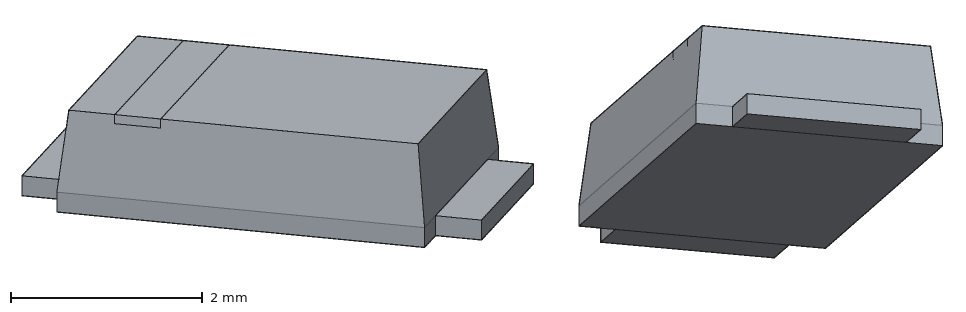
import cadquery as cq

overall_length = 5.0
housing_width = 2.7
overall_height = 1.1

lead_reach = 0.5
lead_width = 1.9
lead_thickness = 0.22

housing_length = overall_length - 2 * lead_reach
base_height = lead_thickness
taper_inset = 0.1
top_length = housing_length - 2 * taper_inset
top_width = housing_width - 2 * taper_inset

band_length = 0.5
band_depth = 0.1
band_edge_gap = 0.5
band_center_x = -top_length / 2 + band_edge_gap + band_length / 2


def make_band():
    """Straight-sided bar across the full width of the top face."""
    return (
        cq.Workplane("XY")
        .workplane(offset=overall_height - band_depth)
        .center(band_center_x, 0)
        .rect(band_length, top_width)
        .extrude(band_depth)
    )


def make_housing(band):
    """Molded housing with a recess that fits the band."""
    base = cq.Workplane("XY").rect(housing_length, housing_width).extrude(base_height)
    tapered_top = (
        cq.Workplane("XY")
        .workplane(offset=base_height)
        .rect(housing_length, housing_width)
        .workplane(offset=overall_height - base_height)
        .rect(top_length, top_width)
        .loft(ruled=True)
    )
    return base.union(tapered_top).cut(band)


def make_lead(side):
    """Flat lead on the -X side (side = -1) or the +X side (side = 1)."""
    lead_center_x = side * (housing_length + lead_reach) / 2
    return (
        cq.Workplane("XY")
        .center(lead_center_x, 0)
        .rect(lead_reach, lead_width)
        .extrude(lead_thickness)
    )


band = make_band()
housing = make_housing(band)
leads = [make_lead(side) for side in (-1, 1)]

result = cq.Compound.makeCompound([housing.val(), band.val(), *[lead.val() for lead in leads]])